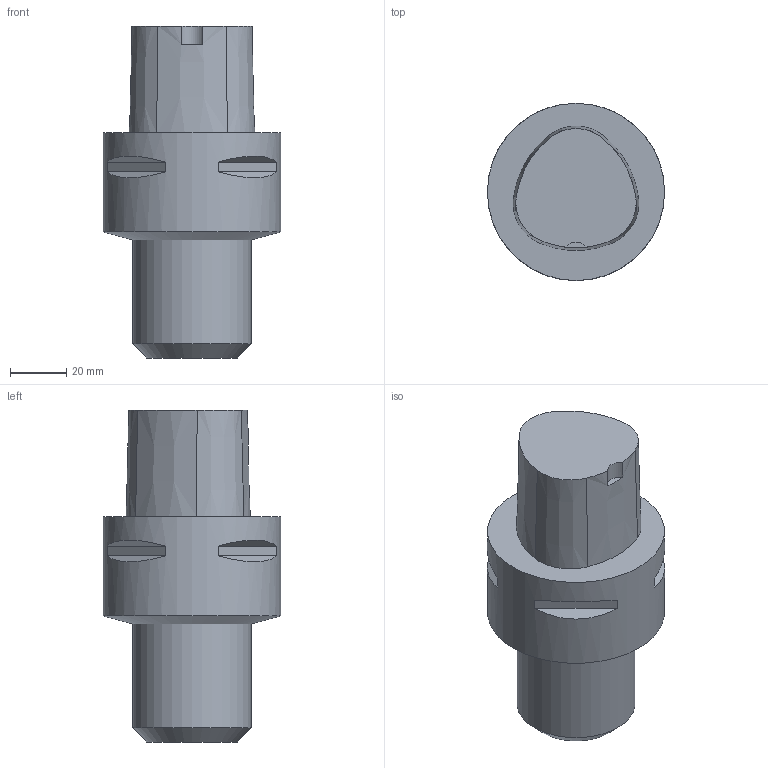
import math

import cadquery as cq

flange_diameter = 63.0
flange_radius = flange_diameter / 2
flange_rim_height = 35.2
flange_cone_angle = 15.0

shank_diameter = 42.0
shank_radius = shank_diameter / 2
shank_chamfer = 5.0

polygon_height = 38.0
overall_height = 118.0
polygon_lobe_reach = 23.4
polygon_flank_reach = 20.8
polygon_lobe_radius = 15.6
polygon_taper_per_side = 1 / 40
lobe_count = 3
lobe_spacing = 360.0 / lobe_count
first_lobe_angle = -30.0

notch_width = 7.6
notch_height = 6.4
notch_floor_reach = 17.9

groove_angles = (45.0, 135.0, 225.0, 315.0)
groove_center_depth = 12.1
groove_floor_height = 3.5
groove_floor_reach = 27.85
groove_flank_angle = 30.0


def polar(radius, angle):
    """Point at a radius and an angle in degrees from the part axis."""
    return (
        radius * math.cos(math.radians(angle)),
        radius * math.sin(math.radians(angle)),
    )


def make_body():
    """Flange, its conical underside and the chamfered shank, as one revolved profile."""
    cone_height = (flange_radius - shank_radius) * math.tan(math.radians(flange_cone_angle))
    cone_bottom = -flange_rim_height - cone_height
    shank_bottom = polygon_height - overall_height
    return (
        cq.Workplane("XZ")
        .moveTo(0, 0)
        .lineTo(flange_radius, 0)
        .lineTo(flange_radius, -flange_rim_height)
        .lineTo(shank_radius, cone_bottom)
        .lineTo(shank_radius, shank_bottom + shank_chamfer)
        .lineTo(shank_radius - shank_chamfer, shank_bottom)
        .lineTo(0, shank_bottom)
        .close()
        .revolve(360, (0, 0, 0), (0, 1, 0))
    )


def polygon_outline(workplane, inset):
    """Closed outline of alternating tangent lobe and flank arcs, moved inward by the inset."""
    lobe_offset = polygon_lobe_reach - polygon_lobe_radius
    reach_gap = polygon_flank_reach - polygon_lobe_radius
    flank_offset = (lobe_offset**2 - reach_gap**2) / (2 * reach_gap - lobe_offset)
    half_spacing = lobe_spacing / 2

    lobe_x, lobe_y = polar(lobe_offset, 0)
    flank_x, flank_y = polar(flank_offset, half_spacing - 180)
    normal_angle = math.degrees(math.atan2(lobe_y - flank_y, lobe_x - flank_x))
    normal_x, normal_y = polar(polygon_lobe_radius - inset, normal_angle)
    joint_x = lobe_x + normal_x
    joint_y = lobe_y + normal_y
    joint_radius = math.hypot(joint_x, joint_y)
    joint_angle = math.degrees(math.atan2(joint_y, joint_x))

    outline = workplane.moveTo(*polar(joint_radius, first_lobe_angle - joint_angle))
    for index in range(lobe_count):
        lobe_angle = first_lobe_angle + index * lobe_spacing
        flank_angle = lobe_angle + half_spacing
        next_lobe_angle = lobe_angle + lobe_spacing
        outline = outline.threePointArc(
            polar(polygon_lobe_reach - inset, lobe_angle),
            polar(joint_radius, lobe_angle + joint_angle),
        )
        outline = outline.threePointArc(
            polar(polygon_flank_reach - inset, flank_angle),
            polar(joint_radius, next_lobe_angle - joint_angle),
        )
    return outline.close()


def make_polygon():
    """Tapered three-lobed polygon standing on the flange."""
    base = polygon_outline(cq.Workplane("XY"), 0)
    top_inset = polygon_height * polygon_taper_per_side
    both_ends = polygon_outline(base.workplane(offset=polygon_height), top_inset)
    return both_ends.loft(ruled=True, combine=True)


def make_notch():
    """Cutter with an arched back wall for the orientation notch."""
    half_width = notch_width / 2
    top_reach = polygon_flank_reach - polygon_height * polygon_taper_per_side
    return (
        cq.Workplane("XY", origin=(0, 0, polygon_height - notch_height))
        .moveTo(-half_width, -polygon_lobe_reach)
        .lineTo(-half_width, -top_reach)
        .threePointArc((0, -notch_floor_reach), (half_width, -top_reach))
        .lineTo(half_width, -polygon_lobe_reach)
        .close()
        .extrude(notch_height)
    )


def make_groove(angle):
    """Straight trapezoidal groove cutter facing outward at the given angle."""
    half_floor = groove_floor_height / 2
    depth = flange_radius - groove_floor_reach
    half_mouth = half_floor + depth * math.tan(math.radians(groove_flank_angle))
    return (
        cq.Workplane("XZ", origin=(0, 0, -groove_center_depth))
        .moveTo(groove_floor_reach, -half_floor)
        .lineTo(flange_radius, -half_mouth)
        .lineTo(flange_radius, half_mouth)
        .lineTo(groove_floor_reach, half_floor)
        .close()
        .extrude(flange_radius, both=True)
        .rotate((0, 0, 0), (0, 0, 1), angle)
    )


result = make_body().union(make_polygon()).cut(make_notch())
for groove_angle in groove_angles:
    result = result.cut(make_groove(groove_angle))